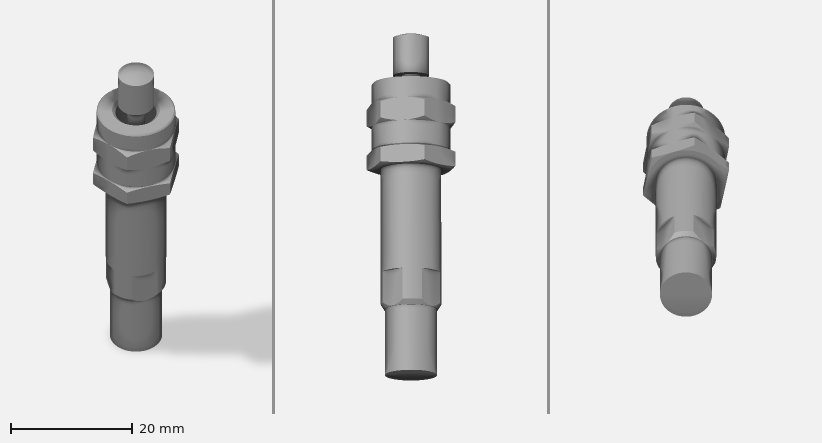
import cadquery as cq
import math

TOTAL_HEIGHT = 57.5
CAP_RIM_Z = 56.9
CAP_BOTTOM_Z = 50.55
SLEEVE_TOP_Z = 49.15
SLEEVE_HEX_TOP_Z = 45.65
SLEEVE_HEX_BOTTOM_Z = 41.75
NUT_TOP_Z = 37.65
NUT_BOTTOM_Z = 34.7
FLATS_TOP_Z = 17.15
BARREL_CHAMFER_Z = 11.9
BARREL_BOTTOM_Z = 11.05
BARREL_TOP_Z = SLEEVE_HEX_BOTTOM_Z

TAIL_DIAMETER = 8.6
BARREL_DIAMETER = 10.0
BARREL_END_DIAMETER = 8.9
WRENCH_FLATS = 8.95
FLAT_COUNT = 4
ROD_DIAMETER = 3.0
CAP_DIAMETER = 6.0

HEX_ACROSS_FLATS = 13.0
HEX_ACROSS_CORNERS = HEX_ACROSS_FLATS / math.cos(math.radians(30))
SLEEVE_HEX_CHAMFER_ANGLE = 30.0
NUT_CHAMFER_ANGLE = 15.0

SLEEVE_DIAMETER = HEX_ACROSS_FLATS
SLEEVE_EDGE_CHAMFER = 0.25
SLEEVE_BORE = 10.2
MOUTH_DIAMETER = 6.8
MOUTH_CHAMFER = 0.6


def cylinder(diameter, bottom_z, top_z):
    return cq.Workplane("XY").workplane(offset=bottom_z).circle(diameter / 2).extrude(top_z - bottom_z)


def chamfered_hexagon(chamfer_angle, bottom_z, top_z):
    """Hexagon with corners on the Y axis, its corners cut by a cone at both ends."""
    corner_radius = HEX_ACROSS_CORNERS / 2
    face_radius = HEX_ACROSS_FLATS / 2
    drop = (corner_radius - face_radius) * math.tan(math.radians(chamfer_angle))
    prism = (
        cq.Workplane("XY")
        .workplane(offset=bottom_z)
        .transformed(rotate=(0, 0, 90))
        .polygon(6, HEX_ACROSS_CORNERS)
        .extrude(top_z - bottom_z)
    )
    envelope = (
        cq.Workplane("XZ")
        .moveTo(0, bottom_z)
        .lineTo(face_radius, bottom_z)
        .lineTo(corner_radius, bottom_z + drop)
        .lineTo(corner_radius, top_z - drop)
        .lineTo(face_radius, top_z)
        .lineTo(0, top_z)
        .close()
        .revolve(360, (0, 0, 0), (0, 1, 0))
    )
    return prism.intersect(envelope)


def make_barrel():
    """Barrel tapering to its lower end, with four wrench flats and a tail."""
    barrel = (
        cq.Workplane("XZ")
        .moveTo(0, BARREL_BOTTOM_Z)
        .lineTo(BARREL_END_DIAMETER / 2, BARREL_BOTTOM_Z)
        .lineTo(BARREL_DIAMETER / 2, BARREL_CHAMFER_Z)
        .lineTo(BARREL_DIAMETER / 2, BARREL_TOP_Z)
        .lineTo(0, BARREL_TOP_Z)
        .close()
        .revolve(360, (0, 0, 0), (0, 1, 0))
    )
    flat_cutter = cq.Workplane("XY").box(
        BARREL_DIAMETER, BARREL_DIAMETER, FLATS_TOP_Z - BARREL_BOTTOM_Z, centered=(False, True, False)
    ).translate((WRENCH_FLATS / 2, 0, BARREL_BOTTOM_Z))
    for index in range(FLAT_COUNT):
        barrel = barrel.cut(flat_cutter.rotate((0, 0, 0), (0, 0, 1), index * 360 / FLAT_COUNT))
    return barrel.union(cylinder(TAIL_DIAMETER, 0, BARREL_BOTTOM_Z))


def make_cap():
    """Round cap with a shallow domed top."""
    radius = CAP_DIAMETER / 2
    dome_height = TOTAL_HEIGHT - CAP_RIM_Z
    sphere_radius = (radius**2 + dome_height**2) / (2 * dome_height)
    half_angle = math.asin(radius / sphere_radius) / 2
    arc_x = sphere_radius * math.sin(half_angle)
    arc_z = TOTAL_HEIGHT - sphere_radius * (1 - math.cos(half_angle))
    return (
        cq.Workplane("XZ")
        .moveTo(0, CAP_BOTTOM_Z)
        .lineTo(radius, CAP_BOTTOM_Z)
        .lineTo(radius, CAP_RIM_Z)
        .threePointArc((arc_x, arc_z), (0, TOTAL_HEIGHT))
        .close()
        .revolve(360, (0, 0, 0), (0, 1, 0))
    )


def make_absorber():
    """Barrel with its lock nut, rod and cap."""
    nut = chamfered_hexagon(NUT_CHAMFER_ANGLE, NUT_BOTTOM_Z, NUT_TOP_Z)
    rod = cylinder(ROD_DIAMETER, BARREL_TOP_Z, CAP_BOTTOM_Z)
    return make_barrel().union(nut).union(rod).union(make_cap())


def make_stop_sleeve():
    """Sleeve standing on the nut, around the barrel, with a mouth for the cap."""
    sleeve = cylinder(SLEEVE_DIAMETER, NUT_TOP_Z, SLEEVE_TOP_Z).edges().chamfer(SLEEVE_EDGE_CHAMFER)
    hexagon = chamfered_hexagon(SLEEVE_HEX_CHAMFER_ANGLE, SLEEVE_HEX_BOTTOM_Z, SLEEVE_HEX_TOP_Z)
    sleeve = sleeve.union(hexagon)
    sleeve = sleeve.cut(cylinder(SLEEVE_BORE, NUT_TOP_Z, BARREL_TOP_Z))
    sleeve = sleeve.cut(cylinder(MOUTH_DIAMETER, BARREL_TOP_Z, SLEEVE_TOP_Z))
    mouth_cone = (
        cq.Workplane("XY")
        .workplane(offset=SLEEVE_TOP_Z)
        .circle(MOUTH_DIAMETER / 2 + MOUTH_CHAMFER)
        .workplane(offset=-MOUTH_CHAMFER)
        .circle(MOUTH_DIAMETER / 2)
        .loft()
    )
    return sleeve.cut(mouth_cone)


absorber = make_absorber()
stop_sleeve = make_stop_sleeve()
result = cq.Compound.makeCompound([*absorber.solids().vals(), *stop_sleeve.solids().vals()])